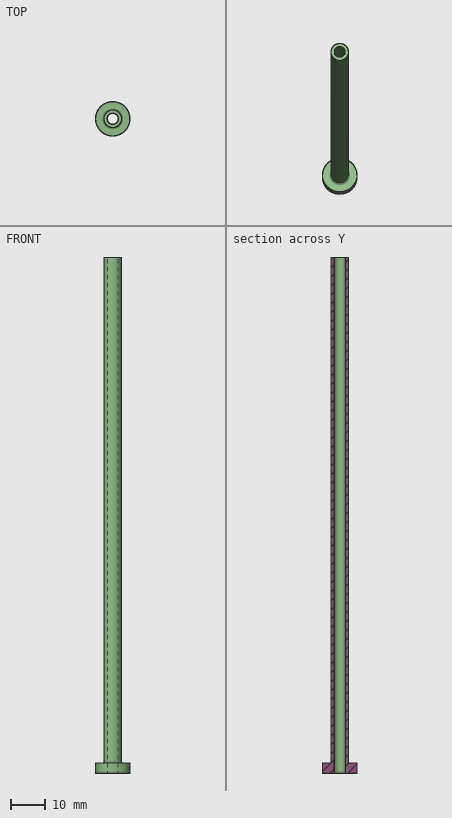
import cadquery as cq

total_length = 150.0
head_diameter = 10.0
head_height = 3.0
shank_diameter = 5.1
bore_diameter = 3.2
root_fillet = 0.3

head = cq.Workplane("XY").circle(head_diameter / 2).extrude(head_height)

shank = cq.Workplane("XY").circle(shank_diameter / 2).extrude(total_length)
body = head.union(shank)

root_edge = cq.selectors.RadiusNthSelector(0)
body = body.faces("<Z[1]").edges(root_edge).fillet(root_fillet)

bore = cq.Workplane("XY").circle(bore_diameter / 2).extrude(total_length)

result = body.cut(bore)